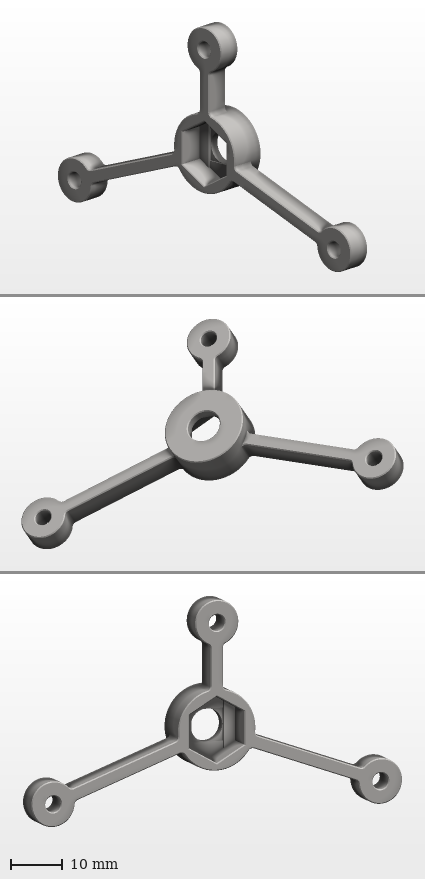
import cadquery as cq
import math

hub_diameter = 16.0
hub_depth = 7.6
arm_depth = 4.8
arm_width = 2.5
eye_diameter = 9.0
eye_hole_diameter = 3.2
junction_fillet = 1.0
root_half_width = 6.1
root_sink = 0.015
edge_chamfer = 0.2
chamfer_angle = 45

long_reach = 36.05
short_reach = 21.0
arm_droop = 20
arms = [(long_reach, -arm_droop), (long_reach, 180 + arm_droop), (short_reach, 90)]

bore_diameter = 6.5
hex_across_flats = 11.35
hex_depth = 5.0
step_width = 6.7
step_height = bore_diameter
step_depth = 0.3


def front_plane(depth=0):
    """Sketch plane parallel to the front face, at the given depth behind it."""
    return cq.Workplane("XZ", origin=(0, depth, 0))


def disc(diameter, depth, x=0):
    return front_plane().center(x, 0).circle(diameter / 2).extrude(-depth)


def break_ends(body):
    """Chamfer every edge of the front and rear faces."""
    return body.faces("<Y or >Y").edges().chamfer(edge_chamfer)


def junction(radius):
    """Fillet between the bar side and a disc centred on the origin, the bar running along +X.

    Returns the point where the fillet touches the disc, its middle and where it touches the bar.
    """
    fillet_y = arm_width / 2 + junction_fillet
    fillet_x = math.sqrt((radius + junction_fillet) ** 2 - fillet_y**2)
    disc_share = radius / (radius + junction_fillet)
    on_disc = (fillet_x * disc_share, fillet_y * disc_share)
    on_bar = (fillet_x, arm_width / 2)
    middle_direction = (math.atan2(-fillet_y, -fillet_x) - math.pi / 2) / 2
    middle = (
        fillet_x + junction_fillet * math.cos(middle_direction),
        fillet_y + junction_fillet * math.sin(middle_direction),
    )
    return on_disc, middle, on_bar


def mirrored(point):
    return (point[0], -point[1])


def make_arm(reach, angle):
    """Bar and eye with filleted junctions and broken edges; the root spreads inside the hub."""
    hub_point, hub_middle, hub_bar = junction(hub_diameter / 2 - root_sink)
    eye_point, eye_middle, eye_bar = [(reach - x, y) for x, y in junction(eye_diameter / 2)]
    root = (0, root_half_width)
    outline = (
        front_plane()
        .moveTo(*root)
        .lineTo(*hub_point)
        .threePointArc(hub_middle, hub_bar)
        .lineTo(*eye_bar)
        .threePointArc(eye_middle, eye_point)
        .threePointArc((reach + eye_diameter / 2, 0), mirrored(eye_point))
        .threePointArc(mirrored(eye_middle), mirrored(eye_bar))
        .lineTo(*mirrored(hub_bar))
        .threePointArc(mirrored(hub_middle), mirrored(hub_point))
        .lineTo(*mirrored(root))
        .close()
    )
    arm = outline.extrude(-arm_depth).cut(disc(eye_hole_diameter, arm_depth, reach))
    return break_ends(arm).rotate((0, 0, 0), (0, 1, 0), -angle)


def hex_prism(depth):
    """Hexagonal prism with two flats facing -X and +X."""
    return front_plane().polygon(6, hex_across_flats, circumscribed=True).extrude(-depth)


def make_bore():
    """Stepped cutter through the hub, narrower at each step and flared at both mouths."""
    slot_end = hex_depth + step_depth
    rectangle_end = slot_end + step_depth
    slot = front_plane().rect(step_width, hub_diameter).extrude(-slot_end)
    slot = slot.intersect(hex_prism(slot_end))
    rectangle = front_plane(slot_end).rect(step_width, step_height).extrude(-step_depth)
    hole = front_plane(rectangle_end).circle(bore_diameter / 2).extrude(rectangle_end - hub_depth)

    front_flats = hex_across_flats + 2 * edge_chamfer
    front_flare = front_plane().polygon(6, front_flats, circumscribed=True)
    front_flare = front_flare.extrude(-edge_chamfer, taper=chamfer_angle)
    rear_flare = front_plane(hub_depth).circle(bore_diameter / 2 + edge_chamfer)
    rear_flare = rear_flare.extrude(edge_chamfer, taper=chamfer_angle)

    bore = hex_prism(hex_depth).union(slot).union(rectangle).union(hole)
    return bore.union(front_flare).union(rear_flare)


def make_hub():
    return break_ends(disc(hub_diameter, hub_depth))


body = make_hub()
for reach, angle in arms:
    body = body.union(make_arm(reach, angle))
result = body.cut(make_bore())